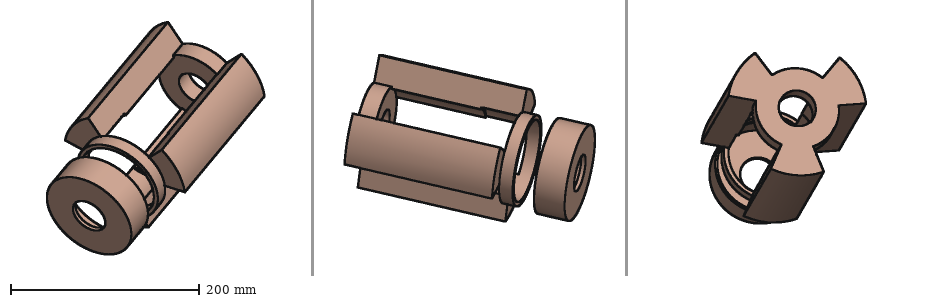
import cadquery as cq
import math

TOTAL_LENGTH = 239.0
CAGE_DIAMETER = 150.0
GUIDE_DIAMETER = 85.0
SEAT_DIAMETER = 90.0
COLLAR_DIAMETER = 100.0
CAP_DIAMETER = 105.0
HOLE_DIAMETER = 40.0

ARM_LENGTH = 165.0
END_PLATE_THICKNESS = 20.0
SEAT_LENGTH = 45.2
COLLAR_LENGTH = 15.0
CAP_LENGTH = 34.5
CAP_FACE_THICKNESS = 5.0

ARM_COUNT = 3
ARM_ANGLE = 45.0
FIRST_ARM_DIRECTION = -90.0

cage_back = TOTAL_LENGTH / 2
end_plate_front = cage_back - END_PLATE_THICKNESS
arm_front = cage_back - ARM_LENGTH
cap_front = -TOTAL_LENGTH / 2
cap_back = cap_front + CAP_LENGTH


def cylinder(diameter, y_start, length):
    """Solid cylinder on the Y axis, running from y_start toward +Y."""
    return (
        cq.Workplane("XZ", origin=(0, y_start, 0))
        .circle(diameter / 2)
        .extrude(-length)
    )


def polar_point(radius, angle):
    """X and Z of a point at the given radius and angle in degrees."""
    radians = math.radians(angle)
    return radius * math.cos(radians), radius * math.sin(radians)


def make_arm(direction):
    """Ring sector with radial sides, centred on the given direction."""
    start_angle = direction - ARM_ANGLE / 2
    end_angle = direction + ARM_ANGLE / 2
    inner_radius = GUIDE_DIAMETER / 2
    outer_radius = CAGE_DIAMETER / 2
    return (
        cq.Workplane("XZ", origin=(0, arm_front, 0))
        .moveTo(*polar_point(inner_radius, start_angle))
        .lineTo(*polar_point(outer_radius, start_angle))
        .threePointArc(polar_point(outer_radius, direction), polar_point(outer_radius, end_angle))
        .lineTo(*polar_point(inner_radius, end_angle))
        .threePointArc(polar_point(inner_radius, direction), polar_point(inner_radius, start_angle))
        .close()
        .extrude(-ARM_LENGTH)
    )


def make_cage():
    """End plate, three arms and a front collar as one solid."""
    cage = cylinder(SEAT_DIAMETER, end_plate_front, END_PLATE_THICKNESS)
    for index in range(ARM_COUNT):
        cage = cage.union(make_arm(FIRST_ARM_DIRECTION + index * 360 / ARM_COUNT))
    cage = cage.union(cylinder(COLLAR_DIAMETER, arm_front - COLLAR_LENGTH, COLLAR_LENGTH))

    cage = cage.cut(cylinder(SEAT_DIAMETER, arm_front - COLLAR_LENGTH, COLLAR_LENGTH + SEAT_LENGTH))
    return cage.cut(cylinder(HOLE_DIAMETER, end_plate_front, END_PLATE_THICKNESS))


def make_cap():
    """Cup that fits over the collar, open toward the cage."""
    cap = cylinder(CAP_DIAMETER, cap_front, CAP_LENGTH)
    cavity_depth = CAP_LENGTH - CAP_FACE_THICKNESS
    cap = cap.cut(cylinder(COLLAR_DIAMETER, cap_back - cavity_depth, cavity_depth))
    return cap.cut(cylinder(HOLE_DIAMETER, cap_front, CAP_FACE_THICKNESS))


cage = make_cage()
cap = make_cap()
result = cq.Compound.makeCompound([cage.val(), cap.val()])